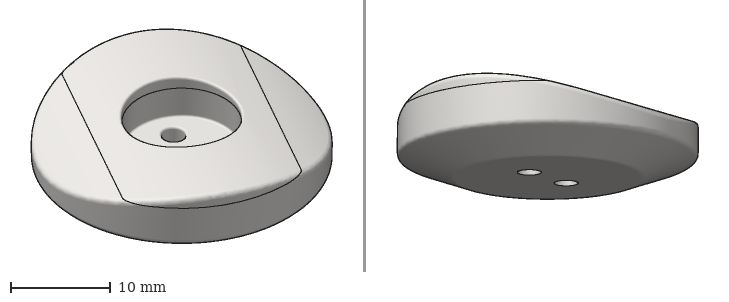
import cadquery as cq
import math

outer_radius = 15.1
height = 7.85
crown_radius = 33.25
split_height = 6.53

underside_radius = 9.58
cone_top = 2.15
rim_fillet = 0.6
underside_fillet = 1.2

pocket_radius = 6.02
pocket_floor = 3.05
pocket_fillet = 0.25

hole_radius = 1.2
hole_spacing = 6.02
hole_fillet = 0.27

clearance = 0.3
edge_margin = 0.03


def disc_blank():
    """Round disc with a conical underside, still flat on top."""
    return (
        cq.Workplane("XZ")
        .moveTo(0, 0)
        .lineTo(underside_radius, 0)
        .lineTo(outer_radius, cone_top)
        .lineTo(outer_radius, height)
        .lineTo(0, height)
        .close()
        .revolve(360, (0, 0, 0), (0, 1, 0))
    )


def crown_cylinder():
    """Cylinder along X whose upper side is the crowned top surface."""
    return (
        cq.Workplane("YZ")
        .center(0, height - crown_radius)
        .circle(crown_radius)
        .extrude(outer_radius + clearance, both=True)
    )


def edges_within(half_x, half_y, bottom, top):
    """Selector for edges lying wholly in a box centred on the Z axis."""
    return cq.selectors.BoxSelector(
        (-half_x, -half_y, bottom), (half_x, half_y, top), boundingbox=True
    )


def circle_at(level, radius):
    """Selector for a horizontal circular edge centred on the Z axis."""
    reach = radius + edge_margin
    return edges_within(reach, reach, level - edge_margin, level + edge_margin)


def crowned_disc():
    """Disc with its crowned top and all outer edges rounded."""
    disc = disc_blank().intersect(crown_cylinder())
    disc = disc.edges(circle_at(cone_top, outer_radius)).fillet(rim_fillet)
    disc = disc.edges(circle_at(0, underside_radius)).fillet(underside_fillet)
    rim_sag = crown_radius - math.sqrt(crown_radius**2 - outer_radius**2)
    reach = outer_radius + clearance
    rim_edges = edges_within(reach, reach, height - rim_sag - clearance, height + clearance)
    return disc.edges(rim_edges).fillet(rim_fillet)


def cut_pocket(disc):
    """Round blind pocket from the top, rounded at its mouth and floor."""
    cutter = (
        cq.Workplane("XY")
        .workplane(offset=pocket_floor)
        .circle(pocket_radius)
        .extrude(height)
        .faces("<Z")
        .edges()
        .fillet(pocket_fillet)
    )
    reach = pocket_radius + clearance
    mouth_edges = edges_within(reach, reach, split_height, height + clearance)
    return disc.cut(cutter).edges(mouth_edges).fillet(pocket_fillet)


def cut_screw_holes(disc):
    """Two through holes in the pocket floor, with rounded upper edges."""
    for side in (-1, 1):
        hole = (
            cq.Workplane("XY")
            .center(side * hole_spacing / 2, 0)
            .circle(hole_radius)
            .extrude(pocket_floor + pocket_fillet)
        )
        disc = disc.cut(hole)
    hole_edges = edges_within(
        hole_spacing / 2 + hole_radius + edge_margin,
        hole_radius + edge_margin,
        pocket_floor - edge_margin,
        pocket_floor + edge_margin,
    )
    return disc.edges(hole_edges).fillet(hole_fillet)


def slab(bottom, top):
    """Block wider than the disc between two heights."""
    width = 2 * (outer_radius + clearance)
    return (
        cq.Workplane("XY")
        .workplane(offset=bottom)
        .rect(width, width)
        .extrude(top - bottom)
    )


def make_base(disc):
    """Everything below the flat joint."""
    return disc.intersect(slab(-clearance, split_height))


def make_cap(disc):
    """Crowned segment above the flat joint, with the pocket passing through."""
    return disc.intersect(slab(split_height, height + clearance))


whole_disc = cut_screw_holes(cut_pocket(crowned_disc()))
base = make_base(whole_disc)
cap = make_cap(whole_disc)

result = cq.Compound.makeCompound([*base.solids().vals(), *cap.solids().vals()])